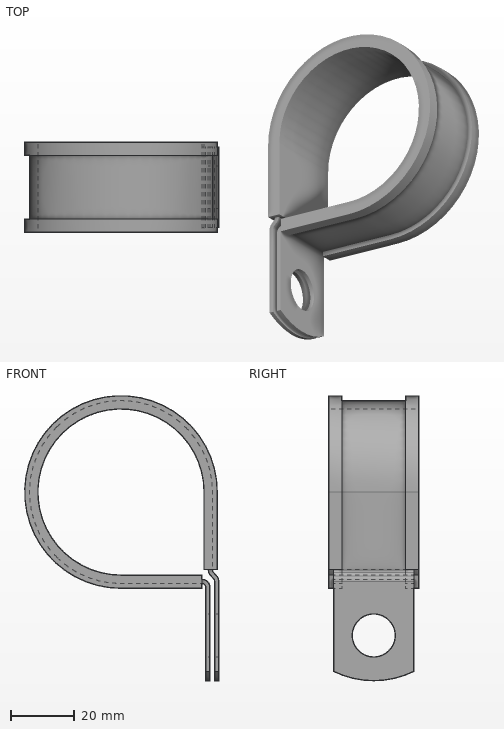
import cadquery as cq
import math

overall_height = 90.0

cushion_outer_radius = 30.4
cushion_thickness = 4.2
cushion_inner_radius = cushion_outer_radius - cushion_thickness
cushion_width = 28.4
flange_width = 4.1
groove_depth = 1.5
upright_end_z = -24.5
base_end_x = 25.55

strap_thickness = 1.35
strap_outer_radius = cushion_outer_radius - groove_depth
strap_inner_radius = strap_outer_radius - strap_thickness
strap_width = 25.4
strap_overlap = 1.8
bend_inner_radius = 1.2
bend_outer_radius = bend_inner_radius + strap_thickness

tab_end_z = cushion_outer_radius - overall_height
inner_tab_outer_x = 28.1
outer_tab_outer_x = 30.9
jog_top_z = -25.0
jog_bottom_z = -27.2
tab_tip_rise = 3.0
hole_diameter = 13.5
hole_z = -45.25


def extrude_centred(profile, width):
    return profile.extrude(width / 2, both=True)


def loop(radius_out, radius_in, width):
    """Three-quarter ring with one straight leg down and one straight leg to the right."""
    diagonal_out = radius_out * math.sqrt(0.5)
    diagonal_in = radius_in * math.sqrt(0.5)
    profile = (
        cq.Workplane("XZ")
        .moveTo(radius_out, upright_end_z)
        .lineTo(radius_out, 0)
        .threePointArc((-diagonal_out, diagonal_out), (0, -radius_out))
        .lineTo(base_end_x, -radius_out)
        .lineTo(base_end_x, -radius_in)
        .lineTo(0, -radius_in)
        .threePointArc((-diagonal_in, diagonal_in), (radius_in, 0))
        .lineTo(radius_in, upright_end_z)
        .close()
    )
    return extrude_centred(profile, width)


def grooved_cushion():
    groove_width = cushion_width - 2 * flange_width
    body = loop(cushion_outer_radius, cushion_inner_radius, cushion_width)
    groove = loop(cushion_outer_radius, strap_outer_radius, groove_width)
    return body.cut(groove)


def inner_tab():
    """Strap leaving the horizontal leg and bending down."""
    bend_x = inner_tab_outer_x - bend_outer_radius
    bend_z = -strap_outer_radius - bend_inner_radius
    diagonal_out = bend_outer_radius * math.sqrt(0.5)
    diagonal_in = bend_inner_radius * math.sqrt(0.5)
    start_x = base_end_x - strap_overlap
    profile = (
        cq.Workplane("XZ")
        .moveTo(start_x, -strap_inner_radius)
        .lineTo(bend_x, -strap_inner_radius)
        .threePointArc((bend_x + diagonal_out, bend_z + diagonal_out), (inner_tab_outer_x, bend_z))
        .lineTo(inner_tab_outer_x, tab_end_z)
        .lineTo(inner_tab_outer_x - strap_thickness, tab_end_z)
        .lineTo(inner_tab_outer_x - strap_thickness, bend_z)
        .threePointArc((bend_x + diagonal_in, bend_z + diagonal_in), (bend_x, -strap_outer_radius))
        .lineTo(start_x, -strap_outer_radius)
        .close()
    )
    return extrude_centred(profile, strap_width)


def outer_tab():
    """Strap leaving the vertical leg and jogging outward before running down."""
    start_z = upright_end_z + strap_overlap
    jog_angle = math.atan2(jog_top_z - jog_bottom_z, outer_tab_outer_x - strap_outer_radius)
    inner_drop = strap_thickness * math.tan((math.pi / 2 - jog_angle) / 2)
    profile = (
        cq.Workplane("XZ")
        .moveTo(strap_outer_radius, start_z)
        .lineTo(strap_outer_radius, jog_top_z)
        .lineTo(outer_tab_outer_x, jog_bottom_z)
        .lineTo(outer_tab_outer_x, tab_end_z)
        .lineTo(outer_tab_outer_x - strap_thickness, tab_end_z)
        .lineTo(outer_tab_outer_x - strap_thickness, jog_bottom_z - inner_drop)
        .lineTo(strap_inner_radius, jog_top_z - inner_drop)
        .lineTo(strap_inner_radius, start_z)
        .close()
    )
    jog = extrude_centred(profile, strap_width)
    corners = (
        (strap_outer_radius, jog_top_z, bend_inner_radius),
        (strap_inner_radius, jog_top_z - inner_drop, bend_outer_radius),
        (outer_tab_outer_x, jog_bottom_z, bend_outer_radius),
        (outer_tab_outer_x - strap_thickness, jog_bottom_z - inner_drop, bend_inner_radius),
    )
    for corner_x, corner_z, radius in corners:
        corner_edge = jog.edges(cq.selectors.NearestToPointSelector((corner_x, 0, corner_z)))
        jog = corner_edge.fillet(radius)
    return jog


def tab_outline():
    """Plate shape with a curved tip, thick enough to span both tabs."""
    half_width = strap_width / 2
    shoulder_z = tab_end_z + tab_tip_rise
    return (
        cq.Workplane("YZ")
        .moveTo(-half_width, 0)
        .lineTo(-half_width, shoulder_z)
        .threePointArc((0, tab_end_z), (half_width, shoulder_z))
        .lineTo(half_width, 0)
        .close()
        .extrude(cushion_outer_radius * 2)
    )


def bolt_hole():
    return (
        cq.Workplane("YZ")
        .center(0, hole_z)
        .circle(hole_diameter / 2)
        .extrude(cushion_outer_radius * 2)
    )


tabs = inner_tab().union(outer_tab()).intersect(tab_outline()).cut(bolt_hole())
result = grooved_cushion().union(tabs)